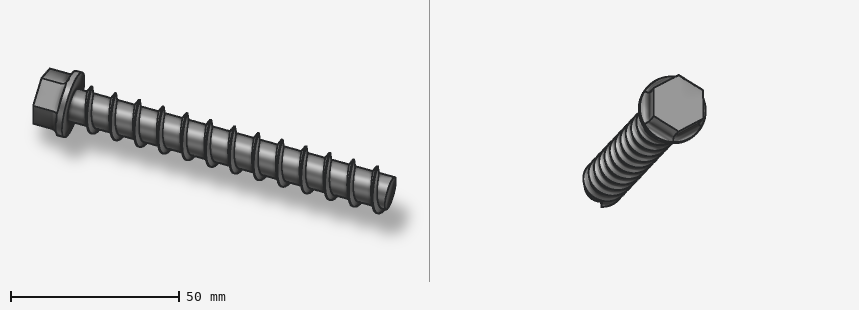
import cadquery as cq
import math

overall_length = 110.0
shank_diameter = 10.0

across_flats = 15.0
hex_height = 6.0
flare_radius = 2.0
flange_diameter = 20.0
head_height = 10.0

crest_diameter = 13.5
turns = 13
root_width = 2.0
crest_width = 0.3
thread_start = 11.3
thread_end = 108.9
root_overlap = 0.2

flange_radius = flange_diameter / 2
shank_radius = shank_diameter / 2
pitch = (thread_end - thread_start) / turns


def flared_slab(angle):
    """Slab bounded by two opposite hexagon flats that flare out to the flange."""
    half_width = across_flats / 2
    flange_face = hex_height + flare_radius
    arc_middle = flare_radius * math.sqrt(0.5)
    arc_middle_point = (half_width + flare_radius - arc_middle, hex_height + arc_middle)
    half_profile = (
        cq.Workplane("YZ")
        .lineTo(half_width, 0)
        .lineTo(half_width, hex_height)
        .threePointArc(arc_middle_point, (half_width + flare_radius, flange_face))
        .lineTo(flange_diameter, flange_face)
        .lineTo(flange_diameter, head_height)
        .lineTo(0, head_height)
        .close()
        .extrude(flange_diameter, both=True)
    )
    slab = half_profile.union(half_profile.mirror("XZ"))
    return slab.rotate((0, 0, 0), (0, 0, 1), angle)


def make_head():
    """Flange cylinder trimmed by three slabs, leaving mitred hexagon corners."""
    head = cq.Workplane("XY").circle(flange_radius).extrude(head_height)
    for angle in (0, 60, 120):
        head = head.intersect(flared_slab(angle))
    return head


def make_thread():
    """Right-handed trapezoidal ridge wound around the shank."""
    inner_radius = shank_radius - root_overlap
    crest_radius = crest_diameter / 2
    flank_slope = (root_width - crest_width) / (crest_radius - shank_radius)
    base_width = root_width + flank_slope * root_overlap
    helix = cq.Wire.makeHelix(pitch, pitch * turns, shank_radius)
    ridge = (
        cq.Workplane("XZ")
        .moveTo(inner_radius, -base_width / 2)
        .lineTo(crest_radius, -crest_width / 2)
        .lineTo(crest_radius, crest_width / 2)
        .lineTo(inner_radius, base_width / 2)
        .close()
        .sweep(cq.Workplane(helix), isFrenet=True)
    )
    return ridge.translate((0, 0, thread_start))


shank = (
    cq.Workplane("XY")
    .circle(shank_radius)
    .extrude(overall_length)
    .rotate((0, 0, 0), (0, 0, 1), 45)
)
screw = make_head().union(shank).union(make_thread())
result = screw.rotate((0, 0, 0), (0, 1, 0), 90)